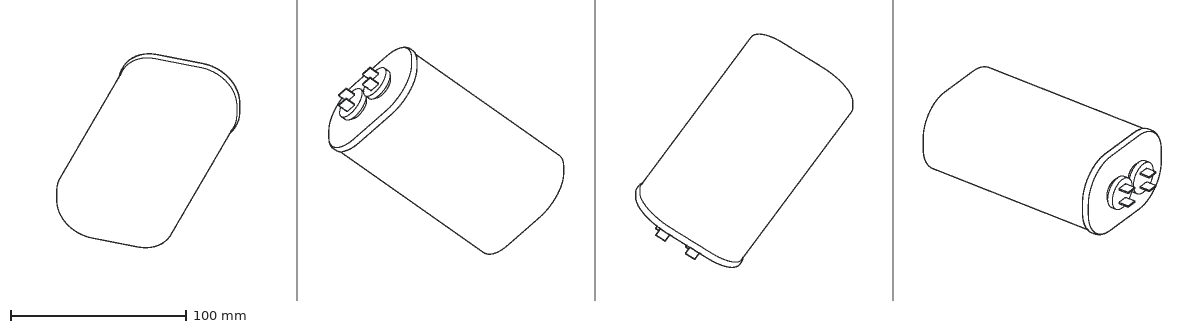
import cadquery as cq

total_length = 130.1
can_width = 70.8
can_height = 50.0
can_corner_radius = 21.6
base_fillet = 2.2

rim_overhang = 0.8
rim_length = 4.0
rim_top_fillet = 1.2

insulator_diameter = 19.3
insulator_spacing = 20.4
insulator_collar_length = 3.3
insulator_taper_length = 2.3

tab_width = 6.5
tab_length = 6.5
tab_thickness = 0.9
tab_spacing = 9.2

insulator_top = total_length - tab_length
lid_top = insulator_top - insulator_collar_length - insulator_taper_length
rim_bottom = lid_top - rim_length
insulator_radius = insulator_diameter / 2
insulator_foot_radius = insulator_radius - insulator_taper_length


def rounded_prism(width, height, corner_radius, y_start, y_end):
    """Oval-sectioned block running along Y."""
    length = y_end - y_start
    block = cq.Workplane("XY").box(width, length, height)
    return block.edges("|Y").fillet(corner_radius).translate((0, y_start + length / 2, 0))


def make_can():
    can = rounded_prism(can_width, can_height, can_corner_radius, 0, lid_top)
    return can.faces("<Y").edges().fillet(base_fillet)


def make_rim():
    """Seamed rim, rounded above and below, that closes the terminal end."""
    rim = rounded_prism(
        can_width + 2 * rim_overhang,
        can_height + 2 * rim_overhang,
        can_corner_radius + rim_overhang,
        rim_bottom,
        lid_top,
    )
    rim = rim.faces(">Y").edges().fillet(rim_top_fillet)
    return rim.faces("<Y").edges().fillet(rim_overhang)


def make_terminal(x):
    """Tapered round insulator carrying a pair of flat tabs."""
    profile = [
        (0, lid_top),
        (insulator_foot_radius, lid_top),
        (insulator_radius, lid_top + insulator_taper_length),
        (insulator_radius, insulator_top),
        (0, insulator_top),
    ]
    terminal = cq.Workplane("XY").polyline(profile).close().revolve(360, (0, 0), (0, 1))
    for side in (-1, 1):
        tab = cq.Workplane("XY").box(tab_width, tab_length, tab_thickness)
        tab_centre = (0, insulator_top + tab_length / 2, side * tab_spacing / 2)
        terminal = terminal.union(tab.translate(tab_centre))
    return terminal.translate((x, 0, 0))


result = make_can().union(make_rim())
for side in (-1, 1):
    result = result.union(make_terminal(side * insulator_spacing / 2))